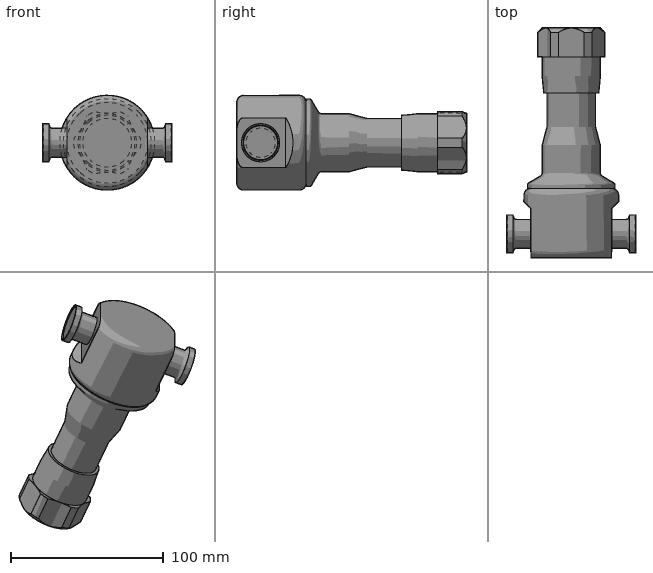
import cadquery as cq
import math

total_length = 150.5

body_diameter = 62.2
body_radius = body_diameter / 2
body_length = 45.5
body_fillet = 4.7

bonnet_rim_radius = 28.7
bonnet_rim_end = 48.5
bonnet_end = 54.2
bonnet_rim_fillet = 1.8
bonnet_neck_fillet = 1.8

stem_radius = 19.1
waist_radius = 16.0
collar_radius = 18.0
front_taper_start = 73.6
front_taper_end = 85.5
collar_start = 107.8
collar_end = 118.6

nut_start = 131.4
nut_radius = 22.0
nut_chamfer = 3.0
scallop_count = 6
scallop_floor_radius = 19.3
scallop_half_width = 8.3

pad_distance = 26.3
pad_width = 32.2
pad_end = 32.0
pad_ramp_angle = 45.0

port_axis_y = 15.7
port_span = 84.5
port_reach = port_span / 2
port_diameter = 19.1
port_radius = port_diameter / 2
flange_radius = 12.5
flange_thickness = 4.0
flange_slope_angle = 20.0
flange_neck_fillet = 1.4
recess_depth = 0.6
recess_outer_radius = 11.6
recess_floor_radius = 11.1

pick_margin = 0.2


def make_body():
    """Round body with both end edges rounded."""
    body = cq.Workplane("XZ").circle(body_radius).extrude(-body_length)
    return body.faces("<Y or >Y").edges().fillet(body_fillet)


def ring_at_y(y):
    """Selector for the round edge that lies at one Y position on the main axis."""
    low = (-body_radius, y - pick_margin, -body_radius)
    high = (body_radius, y + pick_margin, body_radius)
    return cq.selectors.BoxSelector(low, high, boundingbox=True)


def ring_at_x(x):
    """Selector for the round edge that lies at one X position on a port axis."""
    low = (x - pick_margin, -flange_radius, -flange_radius)
    high = (x + pick_margin, flange_radius, flange_radius)
    return cq.selectors.BoxSelector(low, high, boundingbox=True)


def make_stem():
    """Bonnet and stem revolved about the main axis."""
    start = body_length - body_fillet
    profile = (
        cq.Workplane("XY")
        .moveTo(0, start)
        .lineTo(stem_radius, start)
        .lineTo(stem_radius, body_length)
        .lineTo(bonnet_rim_radius, body_length)
        .lineTo(bonnet_rim_radius, bonnet_rim_end)
        .lineTo(stem_radius, bonnet_end)
        .lineTo(stem_radius, front_taper_start)
        .lineTo(waist_radius, front_taper_end)
        .lineTo(waist_radius, collar_start)
        .lineTo(collar_radius, collar_start)
        .lineTo(stem_radius, collar_end)
        .lineTo(stem_radius, total_length)
        .lineTo(0, total_length)
        .close()
    )
    stem = profile.revolve(360, (0, 0, 0), (0, 1, 0))
    stem = stem.edges(ring_at_y(bonnet_rim_end)).fillet(bonnet_rim_fillet)
    return stem.edges(ring_at_y(bonnet_end)).fillet(bonnet_neck_fillet)


def make_nut():
    """Chamfered round nut with concave scallops, one of them facing +Z."""
    nut_length = total_length - nut_start
    nut = (
        cq.Workplane("XZ", origin=(0, nut_start, 0))
        .circle(nut_radius)
        .extrude(-nut_length)
        .faces(">Y")
        .chamfer(nut_chamfer)
    )
    scallop_edge_height = math.sqrt(nut_radius**2 - scallop_half_width**2)
    sagitta = scallop_edge_height - scallop_floor_radius
    scallop_radius = (scallop_half_width**2 + sagitta**2) / (2 * sagitta)
    scallop = (
        cq.Workplane("XZ", origin=(0, nut_start, 0))
        .center(0, scallop_floor_radius + scallop_radius)
        .circle(scallop_radius)
        .extrude(-nut_length)
    )
    for index in range(scallop_count):
        angle = index * 360 / scallop_count
        nut = nut.cut(scallop.rotate((0, 0, 0), (0, 1, 0), angle))
    return nut


def make_pad_cut():
    """Material removed at +X: a flat pad that ramps out at its back end."""
    ramp_depth = body_radius - pad_distance
    ramp_length = ramp_depth / math.tan(math.radians(pad_ramp_angle))
    return (
        cq.Workplane("XY", origin=(0, 0, -pad_width / 2))
        .moveTo(pad_distance, 0)
        .lineTo(body_radius, 0)
        .lineTo(body_radius, pad_end + ramp_length)
        .lineTo(pad_distance, pad_end)
        .close()
        .extrude(pad_width)
    )


def make_port():
    """Tube and clamp flange at +X, with a shallow tapered recess in the end face."""
    flange_back = port_reach - flange_thickness
    slope_length = (flange_radius - port_radius) * math.tan(math.radians(flange_slope_angle))
    neck_x = flange_back - slope_length
    port = (
        cq.Workplane("XY")
        .lineTo(0, port_radius)
        .lineTo(neck_x, port_radius)
        .lineTo(flange_back, flange_radius)
        .lineTo(port_reach, flange_radius)
        .lineTo(port_reach, recess_outer_radius)
        .lineTo(port_reach - recess_depth, recess_floor_radius)
        .lineTo(port_reach - recess_depth, 0)
        .close()
        .revolve(360, (0, 0, 0), (1, 0, 0))
    )
    port = port.edges(ring_at_x(neck_x)).fillet(flange_neck_fillet)
    return port.translate((0, port_axis_y, 0))


def mirrored(solid):
    """Copy of a solid on the -X side."""
    return solid.mirror("YZ")


pad_cut = make_pad_cut()
port = make_port()

result = make_body().cut(pad_cut).cut(mirrored(pad_cut))
result = result.union(make_stem()).union(make_nut())
result = result.union(port).union(mirrored(port))